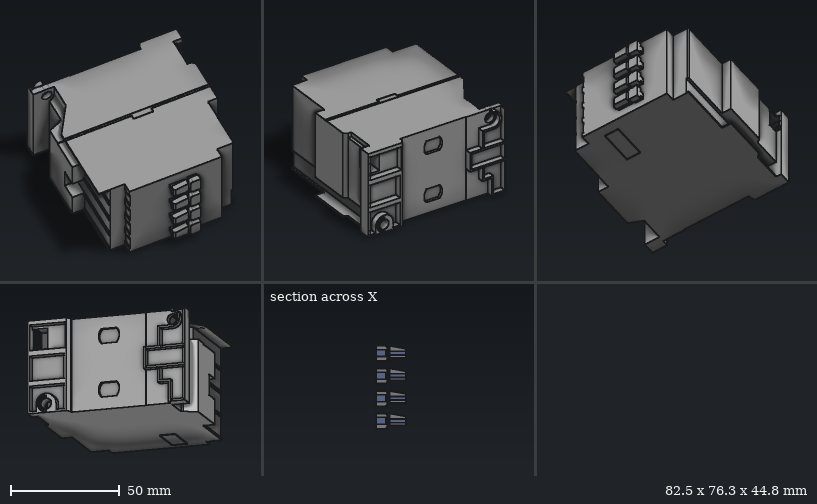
import cadquery as cq


HEIGHT = 44.3
WIDTH = 76.3
BASE_X = 6.3
BODY_X = 72.2
TOWER_X = 77.2
TIP_X = 82.2

RAIL_X = 3.5
RAIL_Y = (20.1, 56.2)
RIB_FLOOR_X = 3.2
CELL_FLOOR_X = 3.5
RAIL_LEAD_X = 2.2
RAIL_LEAD_Y = 1.3
WALL = 1.0

CORE_Y = (7.3, 71.6)
PLATE = 0.6
PLATE_Y = (1.3, 70.3)
REAR_BLOCK_Y = 75.3
REAR_STEP_X = (21.0, 22.3)
REAR_LEDGE_Y = 73.4
REAR_LEDGE_Z = 42.0
BLOCK_X = 45.2
PASSAGE_Y = 69.1
PASSAGE_TOP = 10.1

LEDGE_Y = 8.25
BLOCK_Y = 1.0
LEDGE_Z = 34.5
BLOCK_Z = 34.0
SLOPE_X = (18.5, 21.6)
STEP_X = 29.8
CUT_Y = 10.7
CUT_X = 33.2
CUT_RADIUS = 4.7

POLES = 4
RIB_PITCH = 11.0
RIB_Y = 6.7
NOTCH_X = 37.4
NOTCH_GAP = 0.2

HOLE_RADIUS = 2.5
TOP_HOLE = (7.1, 39.8)
LOW_HOLE = (67.4, 4.2)
LUG_RADIUS = 4.7
COLLAR_RADIUS = 3.9
COLLAR_INNER = 3.0
COLLAR_RISE = 0.3

TOWER_Y = (14.5, 61.8)
COLUMN_PITCH = 10.35
COLUMN_HEIGHT = 6.8
COLUMN_Z = 6.3
COLUMN_RECESS = 0.5
HEAD_X = 79.3
HEAD_HEIGHT = 7.1
HEAD_DROP = 0.15
FRONT_STEM_HEIGHT = 1.8
REAR_STEM_HEIGHT = 3.3
FRONT_HEAD_Y = (34.9, 42.4)
FRONT_HEAD_BOTTOM = 1.5
FRONT_HEAD_SLOPE = 1.3
FRONT_HEAD_CHAMFER = 0.9
REAR_HEAD_Y = (43.5, 48.6)
REAR_STEM_Y = 44.2
REAR_HEAD_FILLET = 1.1


def box(x, y, z):
    """Axis-aligned block from three (low, high) pairs."""
    size = (x[1] - x[0], y[1] - y[0], z[1] - z[0])
    return cq.Workplane("XY").box(*size, centered=False).translate((x[0], y[0], z[0]))


def plan(points, z):
    """Prism with an XY outline between two Z levels."""
    return cq.Workplane("XY").workplane(offset=z[0]).polyline(points).close().extrude(z[1] - z[0])


def disc(centre, radius, x):
    """Cylinder along X around a (Y, Z) centre."""
    return cq.Workplane("YZ").workplane(offset=x[0]).center(*centre).circle(radius).extrude(x[1] - x[0])


def make_core():
    core = box((RAIL_X, BODY_X), CORE_Y, (0, HEIGHT))
    low_corner = box((RAIL_X, SLOPE_X[0]), (CORE_Y[0], LEDGE_Y), (0, HEIGHT))
    rear_block = plan(
        [
            (BASE_X, CUT_Y),
            (BODY_X, CUT_Y),
            (BODY_X, PLATE_Y[1]),
            (BLOCK_X, PLATE_Y[1]),
            (BLOCK_X, REAR_BLOCK_Y),
            (REAR_STEP_X[1], REAR_BLOCK_Y),
            (REAR_STEP_X[0], REAR_LEDGE_Y),
            (REAR_STEP_X[0], CORE_Y[1]),
            (BASE_X, CORE_Y[1]),
        ],
        (0, HEIGHT),
    )
    trim = box((BLOCK_X, BODY_X), (PLATE_Y[1], CORE_Y[1]), (0, HEIGHT))
    rear_ledge = box((BASE_X, REAR_STEP_X[0]), (CORE_Y[1], REAR_LEDGE_Y), (0, REAR_LEDGE_Z))
    passage = box((BASE_X, BODY_X), (PASSAGE_Y, WIDTH), (PLATE, PASSAGE_TOP))
    corner_chamfer = 0.6
    core = core.cut(trim).cut(low_corner).union(rear_block).union(rear_ledge).cut(passage)
    end_corner = cq.selectors.BoxSelector(
        (BODY_X - corner_chamfer, PLATE_Y[1] - corner_chamfer, PASSAGE_TOP),
        (BODY_X + corner_chamfer, PLATE_Y[1] + corner_chamfer, 2 * HEIGHT),
    )
    return core.edges("|Z").edges(end_corner).chamfer(corner_chamfer)


def side_outline(end_x):
    """Outline of the low-Y side: ledge, slope, then the outer block face."""
    return [
        (BASE_X, CUT_Y),
        (BASE_X, LEDGE_Y),
        (SLOPE_X[0], LEDGE_Y),
        (SLOPE_X[1], BLOCK_Y),
        (end_x, BLOCK_Y),
        (end_x, CUT_Y),
    ]


def make_cutout():
    """Corner cut-out whose floor edge and end edge are rounded and meet in a mitre."""
    outer_y = -WALL
    lengthwise = (
        cq.Workplane("YZ")
        .moveTo(outer_y, HEIGHT)
        .lineTo(outer_y, LEDGE_Z)
        .lineTo(CUT_Y - CUT_RADIUS, LEDGE_Z)
        .radiusArc((CUT_Y, LEDGE_Z + CUT_RADIUS), -CUT_RADIUS)
        .lineTo(CUT_Y, HEIGHT)
        .close()
        .extrude(CUT_X)
    )
    upright = (
        cq.Workplane("XY")
        .moveTo(BASE_X, outer_y)
        .lineTo(CUT_X, outer_y)
        .lineTo(CUT_X, CUT_Y - CUT_RADIUS)
        .radiusArc((CUT_X - CUT_RADIUS, CUT_Y), -CUT_RADIUS)
        .lineTo(BASE_X, CUT_Y)
        .close()
        .extrude(HEIGHT)
    )
    return lengthwise.intersect(upright)


def add_low_side(body):
    body = body.union(plan(side_outline(CUT_X), (0, HEIGHT))).cut(make_cutout())
    outside = (0, CORE_Y[0])
    body = body.cut(box((CUT_X - CUT_RADIUS, CUT_X), outside, (LEDGE_Z, HEIGHT)))
    body = body.cut(box((STEP_X, CUT_X), outside, (BLOCK_Z, HEIGHT)))
    block = plan(side_outline(BLOCK_X), (0, BLOCK_Z))
    notch_z = (RIB_PITCH + WALL, 2 * RIB_PITCH - NOTCH_GAP)
    block = block.cut(box((NOTCH_X, BLOCK_X), (0, CORE_Y[0]), notch_z))
    body = body.union(block)
    for pole in range(POLES):
        base_z = pole * RIB_PITCH
        body = body.union(box((NOTCH_X, BODY_X), (RIB_Y, CUT_Y), (base_z, base_z + WALL)))
    top_plate = [
        (SLOPE_X[0], CUT_Y),
        (CUT_X, PLATE_Y[0]),
        (BODY_X, PLATE_Y[0]),
        (BODY_X, CUT_Y),
    ]
    return body.union(plan(top_plate, (HEIGHT - PLATE, HEIGHT)))


def make_rib_flange():
    """Low-Y flange: floor with a rim, pocket frame, stepped ribs and a fixing-hole collar."""
    def rib(y, z):
        return box((0, RIB_FLOOR_X), y, z)

    frame_z = (16.8, 26.9)
    step_y = 13.2
    lower_step_y = 8.2
    lower_step_z = 9.6
    collar_rib = 4.5
    hole_y, hole_z = TOP_HOLE
    shelf_z = hole_z - collar_rib

    flange = box((RIB_FLOOR_X, BASE_X), (0, RAIL_Y[0]), (0, HEIGHT))
    flange = flange.union(disc(TOP_HOLE, LUG_RADIUS, (RIB_FLOOR_X, BASE_X)))
    flange = flange.union(rib((0, WALL), (0, HEIGHT)))
    frame = rib((0, RAIL_Y[0]), frame_z)
    frame = frame.cut(rib((WALL, RAIL_Y[0] - WALL), (frame_z[0] + WALL, frame_z[1] - WALL)))
    flange = flange.union(frame)

    flange = flange.union(rib((step_y - WALL, step_y), (frame_z[1] - WALL, shelf_z + WALL)))
    flange = flange.union(rib((hole_y, step_y), (shelf_z, shelf_z + WALL)))
    collar = disc(TOP_HOLE, collar_rib, (0, RIB_FLOOR_X))
    collar = collar.cut(disc(TOP_HOLE, collar_rib - WALL, (0, RIB_FLOOR_X)))
    flange = flange.union(collar.intersect(rib((0, hole_y), (0, HEIGHT))))

    flange = flange.union(rib((step_y - WALL, step_y), (lower_step_z, frame_z[0] + WALL)))
    flange = flange.union(rib((lower_step_y - WALL, step_y), (lower_step_z, lower_step_z + WALL)))
    flange = flange.union(rib((lower_step_y - WALL, lower_step_y), (0, lower_step_z + WALL)))
    return flange.union(rib((0, lower_step_y), (0, WALL)))


def make_cell_flange():
    """High-Y flange: three pockets and a U-shaped fixing boss."""
    cells = [
        ((58.7, WIDTH - WALL), (1.1, 13.1)),
        ((58.7, WIDTH - WALL), (15.5, 27.4)),
        ((58.0, WIDTH - WALL), (30.0, 42.2)),
    ]
    boss_radius = 4.85
    lip_y = RAIL_Y[1]
    flange = plan(
        [
            (0, WIDTH),
            (BASE_X, WIDTH),
            (BASE_X, lip_y),
            (RAIL_LEAD_X, lip_y),
            (0, lip_y + RAIL_LEAD_Y),
        ],
        (0, HEIGHT),
    )
    for y, z in cells:
        flange = flange.cut(box((0, CELL_FLOOR_X), y, z))

    hole_y, hole_z = LOW_HOLE
    boss = disc(LOW_HOLE, boss_radius, (0, CELL_FLOOR_X))
    boss = boss.union(box((0, CELL_FLOOR_X), (hole_y - boss_radius, hole_y + boss_radius), (0, hole_z)))
    boss = boss.intersect(box((0, CELL_FLOOR_X), (0, WIDTH), (0, HEIGHT)))
    collar = disc(LOW_HOLE, COLLAR_RADIUS, (-COLLAR_RISE, 0))
    collar = collar.cut(disc(LOW_HOLE, COLLAR_INNER, (-COLLAR_RISE, 0)))
    collar = collar.intersect(box((-COLLAR_RISE, 0), (hole_y, WIDTH), (0, HEIGHT)))
    return flange.union(boss).union(collar)


def make_window():
    """Window through the top pocket of the high-Y flange and into the ledge behind it."""
    window_x = (0, 11.2)
    window_y = (67.8, WIDTH - WALL)
    window_z = (31.2, 41.0)
    return box(window_x, window_y, window_z)


def make_rail_slots():
    """Two shallow slots in the rail channel: circles flattened at top and bottom."""
    slot_y = 38.1
    slot_z = (9.4, 34.9)
    slot_radius = 5.0
    slot_height = 7.0
    slot_depth = 1.5
    slot_x = (RAIL_X, RAIL_X + slot_depth)
    slots = cq.Workplane("XY")
    for z in slot_z:
        band = box(slot_x, (0, WIDTH), (z - slot_height / 2, z + slot_height / 2))
        slots = slots.add(disc((slot_y, z), slot_radius, slot_x).intersect(band))
    return slots.combine()


def make_seam():
    """Shallow seam groove across the top with a tab towards the terminals."""
    seam_x = (36.1, 37.3)
    tab_x = 39.3
    tab_y = (35.2, 45.2)
    seam_depth = 0.2
    seam_z = (HEIGHT - seam_depth, HEIGHT)
    seam = box(seam_x, (0, WIDTH), seam_z)
    return seam.union(box((seam_x[0], tab_x), tab_y, seam_z))


def make_connector(centre_z):
    """One terminal connector: two stems, a wedge-topped head and a rounded head."""
    middle = centre_z - HEAD_DROP
    bottom = middle - HEAD_HEIGHT / 2
    top = middle + HEAD_HEIGHT / 2
    stem_x = (TOWER_X, HEAD_X)
    front_stem_z = (centre_z - FRONT_STEM_HEIGHT / 2, centre_z + FRONT_STEM_HEIGHT / 2)
    rear_stem_z = (centre_z - REAR_STEM_HEIGHT / 2, centre_z + REAR_STEM_HEIGHT / 2)
    front_stem = box(stem_x, FRONT_HEAD_Y, front_stem_z)
    rear_stem = box(stem_x, (REAR_STEM_Y, REAR_HEAD_Y[1]), rear_stem_z)
    front_head = (
        cq.Workplane("YZ")
        .workplane(offset=HEAD_X)
        .moveTo(FRONT_HEAD_Y[0], bottom + FRONT_HEAD_BOTTOM)
        .lineTo(FRONT_HEAD_Y[1], bottom + FRONT_HEAD_BOTTOM)
        .lineTo(FRONT_HEAD_Y[1], top)
        .lineTo(FRONT_HEAD_Y[0], top - FRONT_HEAD_SLOPE)
        .close()
        .extrude(TIP_X - HEAD_X)
        .faces(">X").edges("<Y")
        .chamfer(FRONT_HEAD_CHAMFER)
    )
    rear_head = box((HEAD_X, TIP_X), REAR_HEAD_Y, (bottom, top))
    rear_head = rear_head.faces("<Y").edges("|X").fillet(REAR_HEAD_FILLET)
    return front_stem.union(rear_stem).union(front_head).union(rear_head)


def add_terminals(body):
    body = body.union(box((BODY_X, TOWER_X), TOWER_Y, (0, HEIGHT)))
    for column in range(POLES):
        z = COLUMN_Z + column * COLUMN_PITCH
        recess_y = (TOWER_Y[0], TOWER_Y[0] + COLUMN_RECESS)
        recess_z = (z - COLUMN_HEIGHT / 2, z + COLUMN_HEIGHT / 2)
        body = body.cut(box((BODY_X, TOWER_X), recess_y, recess_z))
        body = body.union(make_connector(z))
    return body


def make_label():
    """Thin raised label on the underside."""
    label_x = (54.3, 72.0)
    label_y = (23.5, 30.9)
    label_thickness = 0.3
    return box(label_x, label_y, (-label_thickness, 0))


housing = add_low_side(make_core())
housing = housing.union(make_rib_flange()).union(make_cell_flange())
for hole in (TOP_HOLE, LOW_HOLE):
    housing = housing.cut(disc(hole, HOLE_RADIUS, (-COLLAR_RISE, BASE_X)))
housing = housing.cut(make_window()).cut(make_rail_slots()).cut(make_seam())
housing = add_terminals(housing)
result = housing.union(make_label())